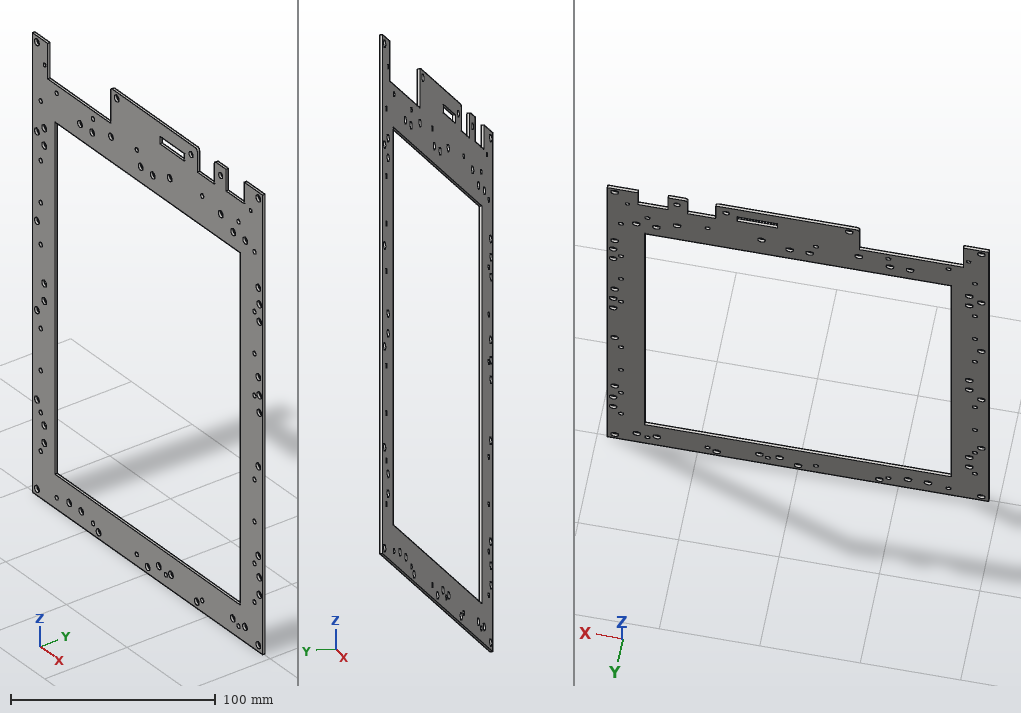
import cadquery as cq

width = 190.0
height = 263.0
thickness = 1.5
half_width = width / 2

window_width = 152.5
window_bottom = 19.5
window_top = 221.0

wide_tab_left = -30.5
wide_tab_right = 41.0
narrow_tab_left = 55.0
narrow_tab_right = 64.7
left_notch_start = -82.3
right_notch_end = 79.7
left_notch_floor = 242.7
middle_notch_floor = 249.8
right_notch_floor = 250.6
tab_corner_radius = 1.5

slot_left = 10.3
slot_right = 30.2
slot_bottom = 251.0
slot_top = 255.0

large_diameter = 3.7
tab_end_diameter = 3.2
small_diameter = 2.4
pilot_diameter = 2.0

edge_inset = 3.7
edge_hole_spaces = 5
bottom_hole_pitch = 40.5
tab_edge_hole = (-25.5, height - edge_inset)
tab_end_z = 257.2
tab_end_x = [35.8, 60.2]

pair_pitch = 10.0
top_pair_z = 229.9
top_pair_starts = [-55.8, -5.8, 70.5]
bottom_pair_z = 8.7
bottom_pair_starts = [-64.7, 9.2, 70.2]
left_pair_x = -85.2
left_pair_starts = [203.0, 114.1, 33.0]
right_pair_x = 92.0
right_pair_starts = [189.0, 137.0, 33.0]

upper_row_z = 235.0
upper_row_x = [-30.2, 18.1, 60.2]

side_small_x = 88.0
side_small_start = 49.0
side_small_end = 193.0
side_small_spaces = 6
side_small_gap = 3
side_small_outer_z = [26.8, 227.2]
shared_small_x = [-75.0, -45.0, -9.0, 45.0, 75.0]
bottom_extra_small_x = 15.0
top_small_z = 238.0
bottom_small_z = 6.5

pilot_x = 85.0
pilot_z = 249.3


def box_between(left, right, bottom, top):
    """Block through the plate's thickness, centred on Y = 0."""
    return (
        cq.Workplane("XY")
        .box(right - left, thickness, top - bottom)
        .translate(((left + right) / 2, 0, (bottom + top) / 2))
    )


def drill(plate, centers, diameter):
    """Cut round holes through the plate at the given (x, z) centers."""
    pins = (
        cq.Workplane("XZ")
        .pushPoints(centers)
        .circle(diameter / 2)
        .extrude(thickness, both=True)
    )
    return plate.cut(pins)


def mounting_holes():
    pitch = (height - 2 * edge_inset) / edge_hole_spaces
    side_x = half_width - edge_inset
    centers = [tab_edge_hole]
    for step in range(edge_hole_spaces + 1):
        z = edge_inset + step * pitch
        centers += [(-side_x, z), (side_x, z)]
    for step in (-1, 0, 1):
        centers.append((step * bottom_hole_pitch, edge_inset))
    return centers


def horizontal_pairs(starts, z):
    return [(x + step * pair_pitch, z) for x in starts for step in (0, 1)]


def vertical_pairs(x, starts):
    return [(x, z + step * pair_pitch) for z in starts for step in (0, 1)]


def small_holes():
    pitch = (side_small_end - side_small_start) / side_small_spaces
    steps = [step for step in range(side_small_spaces + 1) if step != side_small_gap]
    side_z = side_small_outer_z + [side_small_start + step * pitch for step in steps]
    centers = [(side * side_small_x, z) for side in (-1, 1) for z in side_z]
    centers += [(x, top_small_z) for x in shared_small_x]
    centers += [(x, bottom_small_z) for x in shared_small_x + [bottom_extra_small_x]]
    return centers


frame = box_between(-half_width, half_width, 0, height)
frame = frame.cut(box_between(-window_width / 2, window_width / 2, window_bottom, window_top))
frame = frame.cut(box_between(left_notch_start, wide_tab_left, left_notch_floor, height))
frame = frame.cut(box_between(wide_tab_right, narrow_tab_left, middle_notch_floor, height))
frame = frame.cut(box_between(narrow_tab_right, right_notch_end, right_notch_floor, height))

for corner_x in (wide_tab_left, wide_tab_right, narrow_tab_left):
    corner = cq.selectors.NearestToPointSelector((corner_x, 0, height))
    frame = frame.edges("|Y").edges(corner).fillet(tab_corner_radius)

frame = frame.cut(box_between(slot_left, slot_right, slot_bottom, slot_top))

large_holes = mounting_holes()
large_holes += horizontal_pairs(top_pair_starts, top_pair_z)
large_holes += horizontal_pairs(bottom_pair_starts, bottom_pair_z)
large_holes += vertical_pairs(left_pair_x, left_pair_starts)
large_holes += vertical_pairs(right_pair_x, right_pair_starts)
large_holes += [(x, upper_row_z) for x in upper_row_x]
tab_end_holes = [(x, tab_end_z) for x in tab_end_x]
pilot_holes = [(-pilot_x, pilot_z), (pilot_x, pilot_z)]

frame = drill(frame, large_holes, large_diameter)
frame = drill(frame, tab_end_holes, tab_end_diameter)
frame = drill(frame, small_holes(), small_diameter)
result = drill(frame, pilot_holes, pilot_diameter)